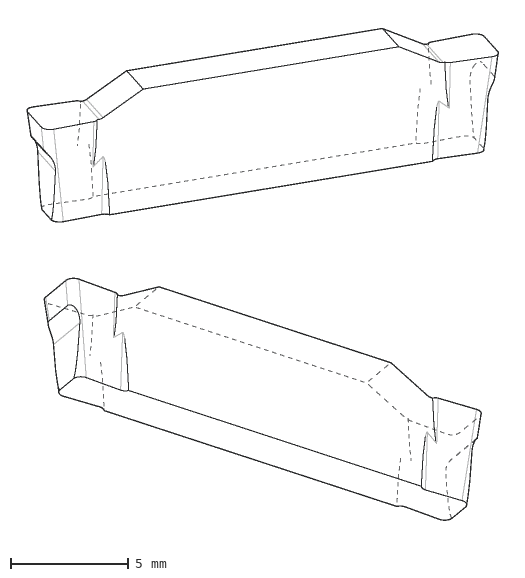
import cadquery as cq
import math

LENGTH = 20.87
HEIGHT = 5.68
BODY_WIDTH = 1.96
HEAD_HEIGHT = 4.6

HEAD_FRONT_HALF_WIDTH = 1.22
HEAD_LENGTH = 2.53
SIDE_BACK_TAPER = 0.05
SIDE_RELIEF = 0.057
FRONT_RELIEF = 0.12
NOSE_RADIUS = 0.4
HEAD_REAR_RADIUS = 0.25

STEP_START_DEPTH = 1.17
STEP_END_DEPTH = 2.07

RAMP_FOOT = 2.67
RAMP_TOP = 4.6
RAMP_FOOT_RADIUS = 0.38

RECESS_LENGTH = 2.75
RECESS_RADIUS = 0.38
CLEARANCE = 1.05

FRONT_Y = -LENGTH / 2
BASE_SETBACK = FRONT_RELIEF * HEAD_HEIGHT
BODY_OVERLAP = 1.05


def flank_half_width(distance, z):
    """Half width between the head flanks at a distance from the cutting edge."""
    depth = HEAD_HEIGHT - z
    return HEAD_FRONT_HALF_WIDTH - SIDE_BACK_TAPER * distance - SIDE_RELIEF * depth


def loft_outlines(lower, upper):
    return cq.Workplane("XY").newObject([cq.Solid.makeLoft([lower, upper], True)])


def make_body():
    end = LENGTH / 2 - BODY_OVERLAP
    foot = LENGTH / 2 - RAMP_FOOT
    top = LENGTH / 2 - RAMP_TOP
    outline = [
        (-end, 0), (end, 0), (end, HEAD_HEIGHT), (foot, HEAD_HEIGHT),
        (top, HEIGHT), (-top, HEIGHT), (-foot, HEAD_HEIGHT), (-end, HEAD_HEIGHT),
    ]
    body = cq.Workplane("YZ").polyline(outline).close().extrude(BODY_WIDTH / 2, both=True)
    for y in (-foot, foot):
        foot_edge = cq.selectors.NearestToPointSelector((0, y, HEAD_HEIGHT))
        body = body.edges("|X").edges(foot_edge).fillet(RAMP_FOOT_RADIUS)
    return body


def make_head_blank():
    def outline(z):
        front = FRONT_RELIEF * (HEAD_HEIGHT - z)
        front_half = flank_half_width(front, z)
        rear_half = flank_half_width(HEAD_LENGTH, z)
        corners = [
            (-front_half, FRONT_Y + front, z), (front_half, FRONT_Y + front, z),
            (rear_half, FRONT_Y + HEAD_LENGTH, z), (-rear_half, FRONT_Y + HEAD_LENGTH, z),
        ]
        return cq.Wire.makePolygon([cq.Vector(*p) for p in corners], close=True)

    blank = loft_outlines(outline(0), outline(HEAD_HEIGHT))
    blank = blank.faces("<Y").edges("not(|X)").fillet(NOSE_RADIUS)
    return blank.faces(">Y").edges("not(|X)").fillet(HEAD_REAR_RADIUS)


def make_front_step():
    """Solid removed below the front flank, with an arc running into a vertical wall."""
    start = FRONT_RELIEF * STEP_START_DEPTH
    setback = BASE_SETBACK - start
    drop = STEP_END_DEPTH - STEP_START_DEPTH
    radius = (setback ** 2 + drop ** 2) / (2 * setback)
    mid_angle = math.asin(drop / radius) / 2
    wall_y = FRONT_Y + BASE_SETBACK
    end_z = HEAD_HEIGHT - STEP_END_DEPTH
    arc_mid = (
        wall_y - radius * (1 - math.cos(mid_angle)),
        end_z + radius * math.sin(mid_angle),
    )
    start_z = HEAD_HEIGHT - STEP_START_DEPTH
    return (
        cq.Workplane("YZ")
        .moveTo(wall_y, 0)
        .lineTo(wall_y, end_z)
        .threePointArc(arc_mid, (FRONT_Y + start, start_z))
        .lineTo(FRONT_Y - CLEARANCE, start_z)
        .lineTo(FRONT_Y - CLEARANCE, 0)
        .close()
        .extrude(HEAD_FRONT_HALF_WIDTH, both=True)
    )


def make_side_recess():
    """Solid outside the +X head flank, ending in a concave arc."""
    def outline(z):
        near = flank_half_width(0, z)
        far = flank_half_width(RECESS_LENGTH, z)
        outer = far + RECESS_RADIUS
        end = FRONT_Y + RECESS_LENGTH
        arc_offset = RECESS_RADIUS * math.sqrt(0.5)
        points = [
            cq.Vector(near, FRONT_Y, z),
            cq.Vector(far, end, z),
            cq.Vector(outer - arc_offset, end + arc_offset, z),
            cq.Vector(outer, end + RECESS_RADIUS, z),
            cq.Vector(outer + CLEARANCE, end + RECESS_RADIUS, z),
            cq.Vector(outer + CLEARANCE, FRONT_Y, z),
        ]
        return cq.Wire.assembleEdges([
            cq.Edge.makeLine(points[0], points[1]),
            cq.Edge.makeThreePointArc(*points[1:4]),
            cq.Edge.makeLine(points[3], points[4]),
            cq.Edge.makeLine(points[4], points[5]),
            cq.Edge.makeLine(points[5], points[0]),
        ])

    return loft_outlines(outline(0), outline(HEAD_HEIGHT))


body = make_body()
recess = make_side_recess()
for side_recess in (recess, recess.mirror("YZ")):
    body = body.cut(side_recess).cut(side_recess.mirror("XZ"))

head = make_head_blank().cut(make_front_step())
result = body.union(head).union(head.mirror("XZ")).clean()